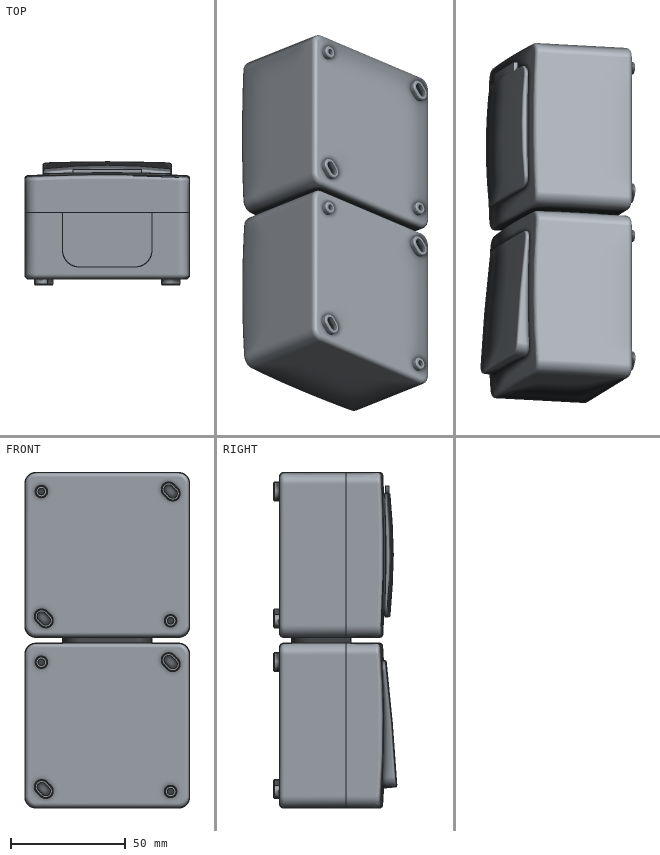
import cadquery as cq


box_size = 72.0
box_gap = 2.5
corner_radius = 5.0
back_fillet = 2.0
base_depth = 29.0
wall = 2.5
upper_z = (box_size + box_gap) / 2
lower_z = -upper_z

cover_fillet = 1.5
upper_cover_top = 46.2
upper_cover_dome = 600.0
lower_cover_top = 46.45
lower_cover_dome = 430.0

foot_height = 2.5
foot_chamfer = 0.4
hole_depth = 2 * foot_height
slot_offset = 27.7
slot_travel = 2.5
slot_foot_width = 6.5
slot_hole_width = 4.0
slot_angle = -45
round_foot_diameter = 5.4
round_hole_diameter = 2.8
round_offset = 28.2
round_shift = -0.55

entry_width = 39.0
entry_depth = 23.7
entry_radius = 7.2
link_rise = 2.2

front_width = 56.0
front_length = 54.0
front_radius = 4.5
front_fillet = 0.8
dome_margin = 5.0

rocker_length = 55.4
rocker_top = 49.4
rocker_dome = 750.0
rocker_tilt = 4.9
rocker_z = lower_z + 0.9

lid_top = 49.7
lid_dome = 240.0
lid_underside = 47.1
collar_inset = 0.5

lip_width = 30.0
lip_length = 3.1
lip_thickness = 1.7
lip_front = 47.9


def block(width, length, radius, y_start, y_end, z):
    """Block along Y, centred on X = 0, with rounded corners."""
    return (
        cq.Workplane("XZ", origin=(0, y_start, z))
        .rect(width, length)
        .extrude(y_start - y_end)
        .edges("|Y")
        .fillet(radius)
    )


def dome(radius, top, z):
    """Large ball that touches Y = top at height z."""
    return cq.Workplane("XY", origin=(0, top - radius, z)).sphere(radius)


def domed_block(width, length, radius, y_start, top, dome_radius, z):
    """Round-cornered block whose front is a shallow dome."""
    return block(width, length, radius, y_start, top + dome_margin, z).intersect(dome(dome_radius, top, z))


def slot_prism(width, x, z, y_start, height):
    """Diagonal slot running from y_start towards -Y."""
    plane = cq.Workplane("XZ", origin=(x, y_start, z))
    return plane.slot2D(slot_travel + width, width, slot_angle).extrude(height)


def round_prism(diameter, x, z, y_start, height):
    """Cylinder running from y_start towards -Y."""
    return cq.Workplane("XZ", origin=(x, y_start, z)).circle(diameter / 2).extrude(height)


def add_foot(base, prism, foot_width, hole_width, x, z):
    """Add one chamfered foot with a blind fixing hole."""
    foot = prism(foot_width, x, z, 0, foot_height).faces("<Y").edges().chamfer(foot_chamfer)
    hole = prism(hole_width, x, z, hole_depth - foot_height, hole_depth)
    return base.union(foot).cut(hole)


def entry(z_start, z_end, rise=0.0):
    """U-shaped cable entry along Z, up to the parting plane or rising above it."""
    height = entry_depth + rise
    return (
        cq.Workplane("XY", origin=(0, base_depth + rise - height / 2, z_start))
        .rect(entry_width, height)
        .extrude(z_end - z_start)
        .faces("<Y")
        .edges("|Z")
        .fillet(entry_radius)
    )


def make_base(z, entries):
    """Rear half of a box, with feet and a recess for each cable entry."""
    base = block(box_size, box_size, corner_radius, 0, base_depth, z)
    base = base.faces("<Y").edges().fillet(back_fillet)
    for side in (-1, 1):
        slot_x = side * slot_offset
        base = add_foot(base, slot_prism, slot_foot_width, slot_hole_width, slot_x, z + slot_x)
        round_x = round_shift + side * round_offset
        round_z = z + round_shift - side * round_offset
        base = add_foot(base, round_prism, round_foot_diameter, round_hole_diameter, round_x, round_z)
    for recess in entries:
        base = base.cut(recess)
    return base


def make_cover(top, dome_radius, z):
    """Front half of a box."""
    cover = domed_block(box_size, box_size, corner_radius, base_depth, top, dome_radius, z)
    return cover.faces(">Y").edges().fillet(cover_fillet)


def make_rocker():
    """Tilted rocker plate, standing on the lower cover."""
    rocker = domed_block(
        front_width, rocker_length, front_radius, base_depth + wall, rocker_top, rocker_dome, rocker_z
    )
    rocker = rocker.faces(">Y").edges().fillet(front_fillet)
    rocker = rocker.rotate((0, rocker_top, rocker_z), (1, rocker_top, rocker_z), rocker_tilt)
    ball = dome(lower_cover_dome, lower_cover_top, lower_z)
    return rocker.cut(ball)


def make_lid():
    """Domed lid with a finger lip at its upper end; its underside follows the cover's dome."""
    lid = domed_block(front_width, front_length, front_radius, base_depth, lid_top, lid_dome, upper_z)
    lid = lid.faces(">Y").edges().fillet(front_fillet)
    lip_end = upper_z + front_length / 2 + lip_length
    lip = cq.Workplane("XY").box(lip_width, lip_thickness, 2 * lip_length)
    lip = lip.translate((0, lip_front - lip_thickness / 2, lip_end - lip_length))
    return lid.union(lip).cut(dome(upper_cover_dome, lid_underside, upper_z))


def make_collar():
    """Socket collar between the upper cover and the lid."""
    width = front_width - 2 * collar_inset
    length = front_length - 2 * collar_inset
    collar = domed_block(
        width, length, front_radius, base_depth, lid_underside, upper_cover_dome, upper_z
    )
    return collar.cut(dome(upper_cover_dome, upper_cover_top, upper_z))


box_top = upper_z + box_size / 2
half_gap = box_gap / 2
plug = entry(box_top - wall, box_top)
link = entry(-half_gap - wall, half_gap + wall).union(entry(-half_gap, half_gap, link_rise))

upper_base = make_base(upper_z, [plug, link])
lower_base = make_base(lower_z, [link])
upper_cover = make_cover(upper_cover_top, upper_cover_dome, upper_z)
lower_cover = make_cover(lower_cover_top, lower_cover_dome, lower_z)
rocker = make_rocker()
lid = make_lid()
collar = make_collar()

result = cq.Compound.makeCompound(
    [
        upper_base.val(),
        lower_base.val(),
        upper_cover.val(),
        lower_cover.val(),
        plug.val(),
        link.val(),
        rocker.val(),
        lid.val(),
        collar.val(),
    ]
)